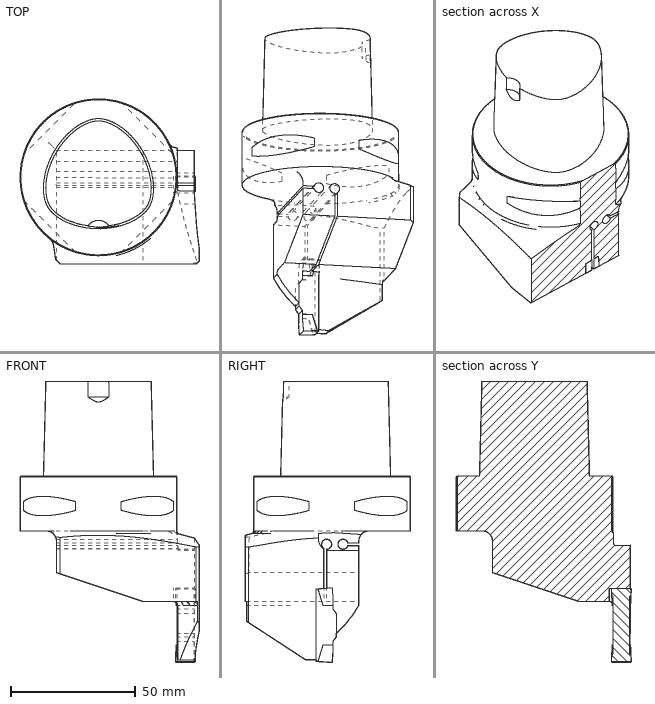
import cadquery as cq
import math


overall_length = 113.0

shank_length = 38.0
shank_base_radius = 22.1
shank_taper = 1 / 40
lobe_offset = 1.5
lobe_count = 3
first_flank_angle = -90
curve_steps = 8
flank_half_angle = 23
shank_top_radius = shank_base_radius - shank_length * shank_taper

keyway_radius = 5.0
keyway_axis_y = -22.3
keyway_depth = 6.2
keyway_tip_depth = 3.8

flange_diameter = 63.0
flange_radius = flange_diameter / 2
flange_height = 22.1
flange_chamfer = 0.3
groove_floor_distance = 27.8
groove_center_z = -12.1
groove_floor_half_width = 1.75
groove_flank_angle = 30
groove_foot_fillet = 0.5
groove_count = 4

head_left = -17.0
head_front = -34.9
head_back = 10.8
head_bottom = -50.5
head_right = 40.6
left_wall_bottom = -38.9
slope_end_x = 17.9
neck_fillet = 4.0
left_chamfer = 1.6
right_chamfer = 1.4
cone_angle = 15
shoulder_fillet = 1.0
arm_right = 38.5

relief_left = 31.8
relief_front = -5.4
relief_floor = -30.0
relief_side_fillet = 0.8
relief_front_fillet = 4.5

right_side_mid_x = 39.2
right_side_mid_y = -17.0
right_side_end_y = -28.7

slot_width = 1.0
hole_diameter = 4.0
hole_z = -27.5
back_hole_y = 4.4
clamp_hole_y = -2.1
clamp_slot_y = -2.7

blade_arm_left = 31.5
blade_seat_left = 31.9
blade_front_left = 39.8
blade_front_y = -34.4
blade_mid_left = 36.2
blade_mid_y = -23.3
blade_fillet = 1.5
blade_bottom = -73.9
blade_heel_y = -10.6
blade_heel_top = -58.4
arm_mid_y = 6.4
arm_mid_z = -58.4
arm_tip_z = -63.3

insert_length = 30.1
insert_bottom = shank_length - overall_length
insert_top = insert_bottom + insert_length
insert_center_z = (insert_bottom + insert_top) / 2
insert_center_x = 34.9
insert_body_width = 6.8
insert_root_width = 7.5
insert_edge_width = 8.1
insert_seat_y = -6.3
insert_ridge_y = 1.8
insert_rake_y = 0.5
insert_edge_y = 0.1
insert_corner_radius = 0.7
insert_end_relief = 0.5
rake_length = 4.3
ridge_start = 8.6
ridge_full = 10.4
head_length = 7.0
head_shoulder_y = -3.6
head_heel_y = -5.6
seat_left = blade_arm_left - blade_fillet

stock = 67.8
flare_limit = 22.6
margin = 0.1


def lobe_point(mean_radius, normal_angle):
    """Outline point of the shank for the given angle of its outward normal."""
    phase = lobe_count * (normal_angle - math.pi / 2)
    support = mean_radius + lobe_offset * math.cos(phase)
    slide = -lobe_count * lobe_offset * math.sin(phase)
    return (
        support * math.cos(normal_angle) - slide * math.sin(normal_angle),
        support * math.sin(normal_angle) + slide * math.cos(normal_angle),
    )


def lobe_wire(mean_radius, z):
    """Closed shank section made of alternating flank and lobe curves."""
    edges = []
    for i in range(lobe_count):
        flank_middle = first_flank_angle + i * 360 / lobe_count
        next_flank = flank_middle + 360 / lobe_count
        spans = [
            (flank_middle - flank_half_angle, flank_middle + flank_half_angle),
            (flank_middle + flank_half_angle, next_flank - flank_half_angle),
        ]
        for start, end in spans:
            angles = [math.radians(start + (end - start) * k / curve_steps) for k in range(curve_steps + 1)]
            points = [cq.Vector(*lobe_point(mean_radius, a), z) for a in angles]
            tangents = [cq.Vector(-math.sin(a), math.cos(a), 0) for a in (angles[0], angles[-1])]
            edges.append(cq.Edge.makeSpline(points, tangents=tangents))
    return cq.Wire.assembleEdges(edges)


def make_shank():
    base = lobe_wire(shank_base_radius, 0)
    top = lobe_wire(shank_top_radius, shank_length)
    shank = cq.Workplane(cq.Solid.makeLoft([base, top], True))
    keyway_floor = shank_length - keyway_depth
    bore_profile = [
        (0, keyway_floor - keyway_tip_depth),
        (keyway_radius, keyway_floor),
        (keyway_radius, shank_length),
        (0, shank_length),
    ]
    bore = cq.Workplane("XZ").polyline(bore_profile).close().revolve(360, (0, 0), (0, 1))
    return shank.cut(bore.translate((0, keyway_axis_y, 0)))


def make_flange():
    flange = cq.Workplane("XY").circle(flange_radius).extrude(-flange_height)
    flange = flange.faces(">Z").edges().chamfer(flange_chamfer)
    groove_reach = stock - groove_floor_distance
    flare = groove_reach * math.tan(math.radians(groove_flank_angle))
    groove_profile = [
        (groove_floor_distance, groove_center_z - groove_floor_half_width),
        (stock, groove_center_z - groove_floor_half_width - flare),
        (stock, groove_center_z + groove_floor_half_width + flare),
        (groove_floor_distance, groove_center_z + groove_floor_half_width),
    ]
    groove = cq.Workplane("XZ").polyline(groove_profile).close().extrude(stock / 2, both=True)
    groove = groove.edges("|Y and <X").fillet(groove_foot_fillet)
    for i in range(groove_count):
        flange = flange.cut(groove.rotate((0, 0, 0), (0, 0, 1), (i + 0.5) * 360 / groove_count))
    return flange


def make_head_wedge():
    """Head block with the sloped underside, and the blade that hangs from it."""
    wedge = (
        cq.Workplane("XZ", origin=(0, flare_limit, 0))
        .moveTo(head_left - neck_fillet, -flange_height)
        .radiusArc((head_left, -flange_height - neck_fillet), neck_fillet)
        .lineTo(head_left, left_wall_bottom)
        .lineTo(slope_end_x, head_bottom)
        .lineTo(stock, head_bottom)
        .lineTo(stock, -flange_height)
        .close()
        .extrude(stock + flare_limit)
    )
    blade = (
        cq.Workplane("XY", origin=(0, 0, head_bottom))
        .moveTo(blade_arm_left, flare_limit)
        .lineTo(blade_arm_left, insert_edge_y)
        .lineTo(blade_seat_left, insert_seat_y)
        .threePointArc((blade_mid_left, blade_mid_y), (blade_front_left, blade_front_y))
        .lineTo(stock, blade_front_y)
        .lineTo(stock, flare_limit)
        .close()
        .extrude(insert_bottom - head_bottom)
    )
    foot = cq.selectors.BoxSelector(
        (blade_arm_left - margin, blade_front_y - margin, head_bottom - margin),
        (blade_front_left + margin, flare_limit + margin, head_bottom + margin),
    )
    return wedge.union(blade).edges(foot).fillet(blade_fillet)


def make_plan_outline():
    """Prism that trims the head to its outline about the Z axis."""
    chamfer_run = flare_limit + left_chamfer
    return (
        cq.Workplane("XY")
        .moveTo(arm_right, flare_limit)
        .lineTo(arm_right, relief_front)
        .threePointArc((right_side_mid_x, right_side_mid_y), (head_right, right_side_end_y))
        .lineTo(head_right, head_front + right_chamfer)
        .lineTo(head_right - right_chamfer, head_front)
        .lineTo(head_left + left_chamfer, head_front)
        .lineTo(head_left + left_chamfer - chamfer_run, head_front + chamfer_run)
        .lineTo(head_left + left_chamfer - chamfer_run, flare_limit)
        .close()
        .extrude(insert_bottom)
    )


def make_side_outline():
    """Prism along X: back wall with its neck fillet, clamping arm, and rising blade heel."""
    heel_slope = (blade_heel_top - blade_bottom) / (blade_heel_y - blade_front_y)
    heel_end_z = blade_bottom + heel_slope * (blade_heel_y + stock)
    return (
        cq.Workplane("YZ")
        .moveTo(-stock, -flange_height)
        .lineTo(head_back + neck_fillet, -flange_height)
        .radiusArc((head_back, -flange_height - neck_fillet), -neck_fillet)
        .lineTo(head_back, head_bottom - blade_fillet)
        .threePointArc((arm_mid_y, arm_mid_z), (insert_ridge_y, arm_tip_z))
        .lineTo(insert_seat_y, arm_tip_z)
        .lineTo(insert_seat_y, blade_bottom)
        .lineTo(blade_heel_y, blade_bottom)
        .lineTo(-stock, heel_end_z)
        .close()
        .extrude(stock, both=True)
    )


def make_shoulder():
    """Round envelope: the conical shoulder and its fillet into the flange."""
    slope = math.radians(cone_angle)
    tangent_length = shoulder_fillet * math.tan((math.pi / 2 - slope) / 2)
    fillet_end_radius = flange_radius + tangent_length * math.cos(slope)
    fillet_end_z = -flange_height - tangent_length * (1 + math.sin(slope))
    rim_z = fillet_end_z - (stock - fillet_end_radius) * math.tan(slope)
    return (
        cq.Workplane("XZ")
        .moveTo(0, -flange_height)
        .lineTo(flange_radius, -flange_height)
        .radiusArc((fillet_end_radius, fillet_end_z), -shoulder_fillet)
        .lineTo(stock, rim_z)
        .lineTo(stock, insert_bottom)
        .lineTo(0, insert_bottom)
        .close()
        .revolve(360, (0, 0), (0, 1))
    )


def make_relief():
    """Cutter for the step beside the flange, rounded along its two inner feet."""
    relief = (
        cq.Workplane("XY", origin=(relief_left, relief_front, relief_floor))
        .box(stock, stock, -relief_floor, centered=False)
    )
    relief = relief.edges("<Y and <Z").fillet(relief_front_fillet)
    return relief.edges("<X and <Z").fillet(relief_side_fillet)


def make_clamp_slots():
    """Cutter for the two slots and their relief holes, which let the arm flex."""
    holes = (
        cq.Workplane("YZ")
        .pushPoints([(back_hole_y, hole_z), (clamp_hole_y, hole_z)])
        .circle(hole_diameter / 2)
        .extrude(stock, both=True)
    )
    back_slot = (
        cq.Workplane("YZ", origin=(0, (back_hole_y + flare_limit) / 2, hole_z))
        .rect(flare_limit - back_hole_y, slot_width)
        .extrude(stock, both=True)
    )
    clamp_slot = (
        cq.Workplane("YZ", origin=(0, clamp_slot_y, (hole_z + insert_center_z) / 2))
        .rect(slot_width, hole_z - insert_center_z)
        .extrude(stock, both=True)
    )
    return holes.union(back_slot).union(clamp_slot)


def insert_outline():
    """Side outline of the double-ended insert, mirrored about its mid height."""
    half = [
        (insert_seat_y, insert_bottom + insert_end_relief),
        (insert_edge_y, insert_bottom),
        (insert_rake_y, insert_bottom + rake_length),
        (insert_rake_y, insert_bottom + ridge_start),
        (insert_ridge_y, insert_bottom + ridge_full),
    ]
    mirrored = [(y, 2 * insert_center_z - z) for y, z in reversed(half)]
    return cq.Workplane("YZ").polyline(half + mirrored).close()


def make_cutting_head():
    """Lower cutting head: widens toward its edge and has rounded corners."""
    root_z = insert_bottom + head_length
    side_profile = [
        (insert_edge_y, insert_bottom),
        (insert_rake_y, insert_bottom + rake_length),
        (insert_rake_y, root_z),
        (head_shoulder_y, root_z),
        (head_heel_y, insert_bottom + insert_end_relief),
    ]
    side = cq.Workplane("YZ").polyline(side_profile).close().extrude(stock)
    front_profile = [
        (insert_center_x - insert_root_width / 2, root_z),
        (insert_center_x - insert_edge_width / 2, insert_bottom),
        (insert_center_x + insert_edge_width / 2, insert_bottom),
        (insert_center_x + insert_root_width / 2, root_z),
    ]
    front = cq.Workplane("XZ").polyline(front_profile).close().extrude(stock, both=True)
    front = front.edges("|Y and <Z").fillet(insert_corner_radius)
    return side.intersect(front)


def make_insert():
    body_left = insert_center_x - insert_body_width / 2
    body = insert_outline().extrude(insert_body_width).translate((body_left, 0, 0))
    head = make_cutting_head()
    upper_head = head.mirror("XY", (0, 0, insert_center_z))
    return body.union(head).union(upper_head)


def make_insert_seat():
    """Recess for the insert, deep enough to clear the fillet beside it."""
    depth = stock - seat_left
    return insert_outline().extrude(depth).translate((seat_left, 0, 0))


def make_holder():
    head = make_head_wedge()
    head = head.intersect(make_plan_outline())
    head = head.intersect(make_side_outline())
    head = head.intersect(make_shoulder())
    head = head.cut(make_relief())
    head = head.cut(make_clamp_slots())
    head = head.cut(make_insert_seat())
    return make_shank().union(make_flange()).union(head)


holder = make_holder()
insert = make_insert()
result = cq.Compound.makeCompound([holder.val(), insert.val()])